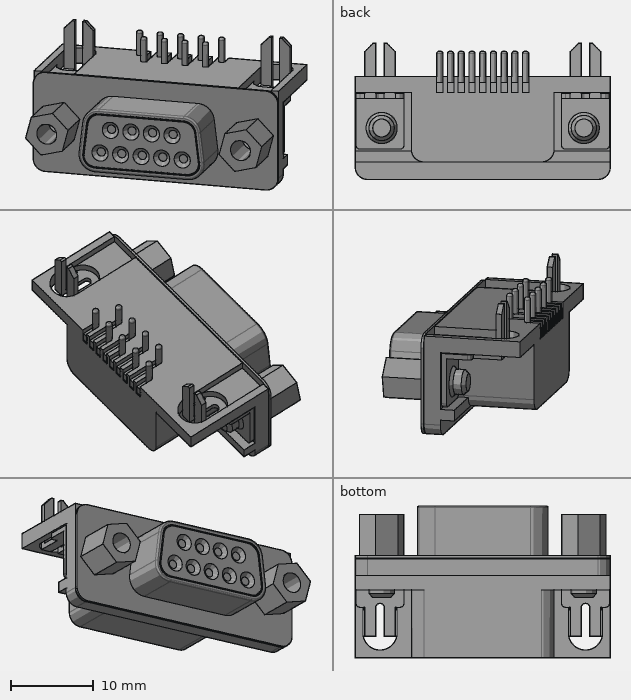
import cadquery as cq
import math


WIDTH = 30.9
HEIGHT = 12.48
DEPTH_BEHIND = 12.4
CORNER_RADIUS = 1.5
SHEET_THICKNESS = 0.3
SHEET_GAP = 0.1
FLANGE_BACK = 2.45
SHELF_THICKNESS = 1.95
SHELF_BOTTOM = HEIGHT - SHELF_THICKNESS
FACE_CENTRE_Z = HEIGHT / 2
BLOCK_WIDTH = 17.3
BLOCK_BOTTOM = 2.13
BLOCK_CORNER_RADIUS = 1.55
FOOT_BACK = 4.17
FOOT_HEIGHT = 1.33

SHELL_BOTTOM_WIDTH = 15.82
SHELL_HEIGHT = 7.95
SHELL_LENGTH = 6.0
SHELL_SIDE_ANGLE = math.radians(7)
SHELL_CORNER_RADIUS = 2.1
SHELL_EDGE_RADIUS = 0.22
SHELL_WALL = 0.53
RIM_GROOVE_WIDTH = 0.15
RIM_GROOVE_DEPTH = 0.3

CONTACT_PITCH = 2.6
ROW_SPACING = 2.97
LONG_ROW_COUNT = 5
SHORT_ROW_COUNT = 4
SOCKET_MOUTH_DIAMETER = 2.05
SOCKET_DIAMETER = 1.05
SOCKET_CONE_DEPTH = 0.5

PIN_DIAMETER = 0.77
PIN_TOP = 15.55
PIN_TIP_RADIUS = 0.3
LONG_ROW_PIN_Y = 10.7
SHORT_ROW_PIN_Y = 8.15
LEAD_DEPTH = 0.75
LEAD_BACK_GAP = 0.12

POST_SPACING = 24.47
HEX_FLATS = 4.82
HEX_LENGTH = 4.97
HEX_TURN = 15.0
SCREW_HOLE_DIAMETER = 2.5
SCREW_HOLE_DEPTH = 5.0
DRILL_POINT_ANGLE = 118.0
NUT_FLARE_DIAMETER = 3.77
NUT_DIAMETER = 3.05
NUT_END_DIAMETER = 2.15
NUT_FLARE_BACK = 3.58
NUT_CHAMFER_FRONT = 4.6
NUT_BACK = 5.1

CLIP_SPACING = 24.87
CLIP_GAP = 0.12
CLIP_TOP = 16.5
CLIP_WIDTH = 5.8
STRAP_THICKNESS = 0.62
PLATE_BOTTOM = 3.68
CLIP_CORNER_RADIUS = 0.5
CLIP_BACK = 9.8
PRONG_THICKNESS = 0.68
PRONGS_WIDTH = 3.7
PRONG_SPLIT = 1.02
PRONG_CHAMFER = 1.02
SPLIT_FRONT = 5.8
WIDE_BACK = 6.27
RECESS_WIDTH = 4.1
RECESS_DEPTH = 1.0
SLOT_FRONT = 4.88
SLOT_BACK = 11.43


def box(x_range, y_range, z_range):
    """Axis-aligned block between two limits on each axis."""
    (x0, x1), (y0, y1), (z0, z1) = x_range, y_range, z_range
    return cq.Workplane("XY").box(x1 - x0, y1 - y0, z1 - z0, centered=False).translate((x0, y0, z0))


def centred_box(x, width, y_range, z_range):
    """Block centred on x."""
    return box((x - width / 2, x + width / 2), y_range, z_range)


def facing_front(y):
    """Workplane at y whose outward normal points to -Y."""
    return cq.Workplane("XZ", origin=(0, y, 0))


def revolve_along_y(profile, x, z):
    """Solid of revolution about the line (x, z) along Y, from (radius, y) points."""
    return (
        cq.Workplane("XY")
        .polyline(profile)
        .close()
        .revolve(360, (0, 0, 0), (0, 1, 0))
        .translate((x, 0, z))
    )


def row_positions(count):
    """X positions of a centred row of contacts."""
    return [(i - (count - 1) / 2) * CONTACT_PITCH for i in range(count)]


def make_housing():
    """Thin front sheet, and the moulded flange, shelf, contact block and feet behind it."""
    sheet = centred_box(0, WIDTH, (0, SHEET_THICKNESS), (0, HEIGHT)).edges("|Y").fillet(CORNER_RADIUS)
    flange_front = SHEET_THICKNESS + SHEET_GAP
    flange = centred_box(0, WIDTH, (flange_front, FLANGE_BACK), (0, HEIGHT))
    flange = flange.edges("|Y and <Z").fillet(CORNER_RADIUS)
    shelf = centred_box(0, WIDTH, (flange_front, DEPTH_BEHIND), (SHELF_BOTTOM, HEIGHT))
    block = centred_box(0, BLOCK_WIDTH, (flange_front, DEPTH_BEHIND), (BLOCK_BOTTOM, HEIGHT))
    block = block.edges("|Y and <Z").fillet(BLOCK_CORNER_RADIUS)
    foot = centred_box(0, WIDTH, (flange_front, FOOT_BACK), (BLOCK_BOTTOM, BLOCK_BOTTOM + FOOT_HEIGHT))
    return sheet.union(flange).union(shelf).union(block).union(foot)


def shell_prism(inset, back, front):
    """Rounded trapezoid, offset inwards by inset, from y = back forward to y = front."""
    slope = math.tan(SHELL_SIDE_ANGLE)
    stretch = 1 / math.cos(SHELL_SIDE_ANGLE)
    height = SHELL_HEIGHT - 2 * inset
    sharp_half_width = SHELL_BOTTOM_WIDTH / 2 + SHELL_CORNER_RADIUS * (stretch + slope - 1)
    bottom = sharp_half_width - inset * (stretch + slope)
    top = bottom - height * slope
    z0 = FACE_CENTRE_Z - height / 2
    z1 = FACE_CENTRE_Z + height / 2
    return (
        facing_front(back)
        .polyline([(-bottom, z0), (bottom, z0), (top, z1), (-top, z1)])
        .close()
        .extrude(back - front)
        .edges("|Y")
        .fillet(SHELL_CORNER_RADIUS - inset)
    )


def make_shell():
    """Socket shell with a rounded front edge and a narrow groove around the insert."""
    shell = shell_prism(0, FLANGE_BACK, -SHELL_LENGTH)
    shell = shell.faces("<Y").edges().fillet(SHELL_EDGE_RADIUS)
    groove_back = RIM_GROOVE_DEPTH - SHELL_LENGTH
    groove = shell_prism(SHELL_WALL, groove_back, -SHELL_LENGTH)
    groove = groove.cut(shell_prism(SHELL_WALL + RIM_GROOVE_WIDTH, groove_back, -SHELL_LENGTH))
    return shell.cut(groove)


def make_sockets():
    """Conical contact openings in the socket face."""
    mouth = SOCKET_MOUTH_DIAMETER / 2
    throat = SOCKET_DIAMETER / 2
    floor = SOCKET_CONE_DEPTH - SHELL_LENGTH
    profile = [(0, -SHELL_LENGTH), (mouth, -SHELL_LENGTH), (throat, floor), (0, floor)]
    sockets = cq.Workplane("XY")
    for count, side in ((LONG_ROW_COUNT, -1), (SHORT_ROW_COUNT, 1)):
        for x in row_positions(count):
            sockets = sockets.add(revolve_along_y(profile, x, FACE_CENTRE_Z + side * ROW_SPACING / 2))
    return sockets.combine()


def add_pins(body):
    """Body with upright pins standing in grooves that run out at the back edge."""
    groove_heights = (SHELF_BOTTOM, HEIGHT)
    lead_heights = (SHELF_BOTTOM, HEIGHT - LEAD_DEPTH)
    lead_back = DEPTH_BEHIND - LEAD_BACK_GAP
    for count, y in ((LONG_ROW_COUNT, LONG_ROW_PIN_Y), (SHORT_ROW_COUNT, SHORT_ROW_PIN_Y)):
        for x in row_positions(count):
            groove = centred_box(x, PIN_DIAMETER, (y, DEPTH_BEHIND), groove_heights)
            lead = centred_box(x, PIN_DIAMETER, (y, lead_back), lead_heights)
            pin = (
                cq.Workplane("XY", origin=(x, y, SHELF_BOTTOM))
                .circle(PIN_DIAMETER / 2)
                .extrude(PIN_TOP - SHELF_BOTTOM)
                .faces(">Z")
                .edges()
                .fillet(PIN_TIP_RADIUS)
            )
            body = body.cut(groove).union(lead).union(pin)
    return body


def make_post(x):
    """Hexagonal jack post in front with its nut behind."""
    hexagon = (
        facing_front(FLANGE_BACK)
        .center(x, FACE_CENTRE_Z)
        .transformed(rotate=(0, 0, HEX_TURN))
        .polygon(6, HEX_FLATS / math.cos(math.pi / 6))
        .extrude(FLANGE_BACK + HEX_LENGTH)
    )
    plate_back = FLANGE_BACK + CLIP_GAP + STRAP_THICKNESS
    nut = revolve_along_y(
        [
            (0, FLANGE_BACK),
            (NUT_FLARE_DIAMETER / 2, FLANGE_BACK),
            (NUT_FLARE_DIAMETER / 2, plate_back),
            (NUT_DIAMETER / 2, NUT_FLARE_BACK),
            (NUT_DIAMETER / 2, NUT_CHAMFER_FRONT),
            (NUT_END_DIAMETER / 2, NUT_BACK),
            (0, NUT_BACK),
        ],
        x,
        FACE_CENTRE_Z,
    )
    return hexagon.union(nut)


def make_screw_hole(x):
    """Blind screw hole with a conical drill point."""
    radius = SCREW_HOLE_DIAMETER / 2
    floor = SCREW_HOLE_DEPTH - HEX_LENGTH
    point = floor + radius / math.tan(math.radians(DRILL_POINT_ANGLE / 2))
    profile = [(0, -HEX_LENGTH), (radius, -HEX_LENGTH), (radius, floor), (0, point)]
    return revolve_along_y(profile, x, FACE_CENTRE_Z)


def make_clip_opening(x):
    """Shallow channel in the shelf top leading back to a through slot with round ends."""
    radius = RECESS_WIDTH / 2
    slot_middle = (SLOT_FRONT + SLOT_BACK) / 2
    channel = centred_box(
        x, RECESS_WIDTH, (SHEET_THICKNESS, SLOT_BACK - radius), (HEIGHT - RECESS_DEPTH, HEIGHT)
    )
    slot = (
        cq.Workplane("XY", origin=(x, slot_middle, SHELF_BOTTOM))
        .slot2D(SLOT_BACK - SLOT_FRONT, RECESS_WIDTH, 90)
        .extrude(SHELF_THICKNESS)
    )
    return channel.union(slot)


def make_clip(x):
    """Bent strap behind the flange and under the shelf, ending in two upright prongs."""
    plate_front = FLANGE_BACK + CLIP_GAP
    plate_back = plate_front + STRAP_THICKNESS
    strap_top = SHELF_BOTTOM - CLIP_GAP
    strap_bottom = strap_top - STRAP_THICKNESS
    plate = centred_box(x, CLIP_WIDTH, (plate_front, plate_back), (PLATE_BOTTOM, strap_top))
    plate = plate.edges("|Y and <Z").fillet(CLIP_CORNER_RADIUS)

    strap_height = (strap_bottom, strap_top)
    wide_strap = centred_box(x, CLIP_WIDTH, (plate_front, WIDE_BACK), strap_height)
    wide_strap = wide_strap.edges("|Z and >Y").fillet(CLIP_CORNER_RADIUS)
    narrow_strap = centred_box(x, PRONGS_WIDTH, (plate_front, CLIP_BACK), strap_height)
    strap = wide_strap.union(narrow_strap)

    prongs = (
        centred_box(x, PRONGS_WIDTH, (CLIP_BACK - PRONG_THICKNESS, CLIP_BACK), (strap_bottom, CLIP_TOP))
        .edges("|Y and >Z")
        .chamfer(PRONG_CHAMFER)
    )
    split_radius = PRONG_SPLIT / 2
    split = centred_box(x, PRONG_SPLIT, (SPLIT_FRONT + split_radius, CLIP_BACK), (strap_bottom, CLIP_TOP))
    split_end = (
        cq.Workplane("XY", origin=(x, SPLIT_FRONT + split_radius, strap_bottom))
        .circle(split_radius)
        .extrude(STRAP_THICKNESS)
    )
    return plate.union(strap).union(prongs).cut(split).cut(split_end)


body = add_pins(make_housing().union(make_shell()).cut(make_sockets()))
for side in (-1, 1):
    clip_x = side * CLIP_SPACING / 2
    post_x = side * POST_SPACING / 2
    body = body.cut(make_clip_opening(clip_x))
    body = body.union(make_clip(clip_x)).union(make_post(post_x)).cut(make_screw_hole(post_x))

result = body